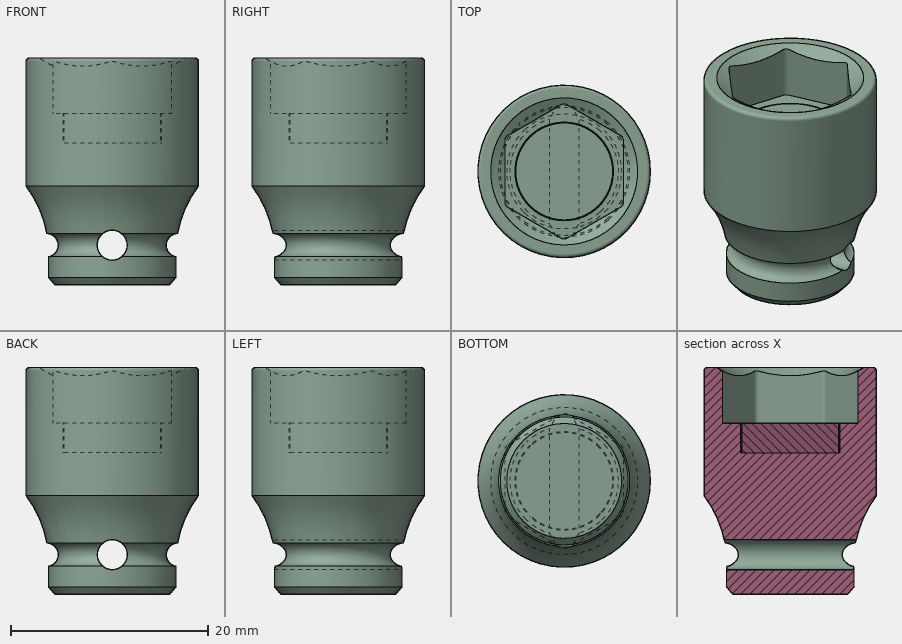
import cadquery as cq
import math

HEIGHT = 23.0
BODY_DIAMETER = 17.5
BODY_RADIUS = BODY_DIAMETER / 2
RIM_ROUND = 0.35

FLARE_TOP_Z = 10.0
FLARE_MID_RADIUS = 7.35
LIP_RADIUS = 6.65
LIP_Z = 5.2
FLARE_MID_Z = (FLARE_TOP_Z + LIP_Z) / 2

COLLAR_RADIUS = 6.49
COLLAR_TOP_Z = 2.85
FOOT_CHAMFER_WIDTH = 0.67
FOOT_CHAMFER_HEIGHT = 0.75
GROOVE_RADIUS = 5.5
GROOVE_Z = (LIP_Z + COLLAR_TOP_Z) / 2
PIN_HOLE_DIAMETER = 3.01

HEX_ACROSS_FLATS = 12.0
HEX_CORNER_FILLET = 0.55
HEX_FLOOR_Z = 17.36
LEAD_IN_RADIUS = 7.45
LEAD_IN_ANGLE = 30.0

BORE_DIAMETER = 10.0
MAGNET_CLEARANCE = 0.1
MAGNET_DIAMETER = BORE_DIAMETER - 2 * MAGNET_CLEARANCE
MAGNET_THICKNESS = 3.0
BORE_FLOOR_Z = HEX_FLOOR_Z - MAGNET_THICKNESS


def turned_blank():
    """Solid of revolution with the outer profile of the socket."""
    return (
        cq.Workplane("XZ")
        .moveTo(0, 0)
        .lineTo(COLLAR_RADIUS - FOOT_CHAMFER_WIDTH, 0)
        .lineTo(COLLAR_RADIUS, FOOT_CHAMFER_HEIGHT)
        .lineTo(COLLAR_RADIUS, COLLAR_TOP_Z)
        .threePointArc((GROOVE_RADIUS, GROOVE_Z), (LIP_RADIUS, LIP_Z))
        .threePointArc((FLARE_MID_RADIUS, FLARE_MID_Z), (BODY_RADIUS, FLARE_TOP_Z))
        .lineTo(BODY_RADIUS, HEIGHT - RIM_ROUND)
        .tangentArcPoint((BODY_RADIUS - RIM_ROUND, HEIGHT), relative=False)
        .lineTo(0, HEIGHT)
        .close()
        .revolve(360, (0, 0, 0), (0, 1, 0))
    )


def hex_recess():
    """Hexagonal prism with rounded corners, two of them on the Y axis."""
    across_corners = HEX_ACROSS_FLATS / math.cos(math.radians(30))
    return (
        cq.Workplane("XY")
        .workplane(offset=HEX_FLOOR_Z)
        .polygon(6, across_corners)
        .extrude(HEIGHT - HEX_FLOOR_Z)
        .edges("|Z")
        .fillet(HEX_CORNER_FILLET)
        .rotate((0, 0, 0), (0, 0, 1), 30)
    )


def lead_in_cone():
    """Cone, point down, that opens the mouth of the recess."""
    depth = LEAD_IN_RADIUS * math.tan(math.radians(LEAD_IN_ANGLE))
    return (
        cq.Workplane("XZ")
        .moveTo(0, HEIGHT)
        .lineTo(LEAD_IN_RADIUS, HEIGHT)
        .lineTo(0, HEIGHT - depth)
        .close()
        .revolve(360, (0, 0, 0), (0, 1, 0))
    )


def disc(diameter):
    """Disc that reaches from the bore floor to the recess floor."""
    return cq.Workplane("XY").workplane(offset=BORE_FLOOR_Z).circle(diameter / 2).extrude(MAGNET_THICKNESS)


def pin_hole():
    """Cross hole along Y, level with the retaining groove."""
    return (
        cq.Workplane("XZ")
        .center(0, GROOVE_Z)
        .circle(PIN_HOLE_DIAMETER / 2)
        .extrude(BODY_RADIUS, both=True)
    )


def make_socket():
    return (
        turned_blank()
        .cut(hex_recess())
        .cut(lead_in_cone())
        .cut(disc(BORE_DIAMETER))
        .cut(pin_hole())
    )


def make_magnet():
    return disc(MAGNET_DIAMETER)


socket = make_socket()
magnet = make_magnet()

result = cq.Compound.makeCompound([socket.val(), magnet.val()])